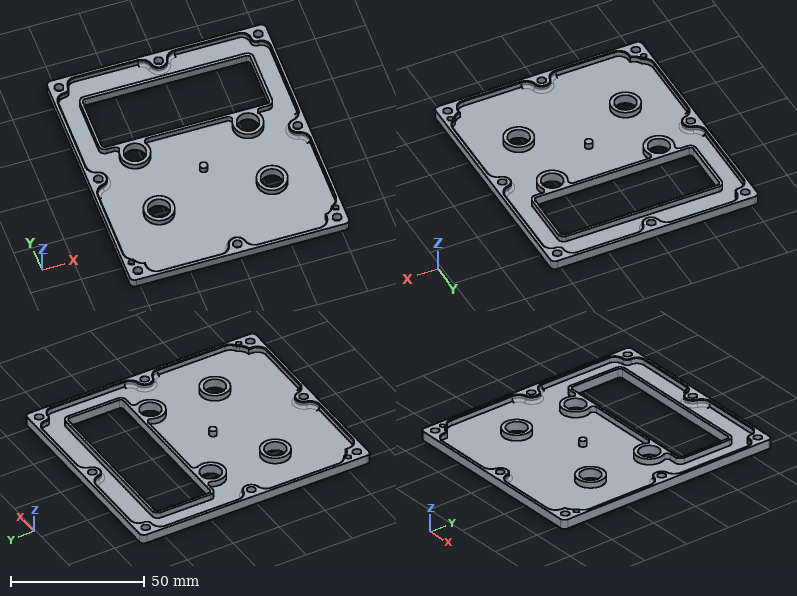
import cadquery as cq
import math

LENGTH_X = 87.0
LENGTH_Y = 100.0
THICKNESS = 4.0
CORNER_RADIUS = 2.0
FLOOR = 1.5
DEPTH = THICKNESS - FLOOR

WALL = 1.5
WALL_CHAMFER = 0.3
HALF_POCKET_X = LENGTH_X / 2 - WALL
HALF_POCKET_Y = LENGTH_Y / 2 - WALL

SCREW_DIAMETER = 3.4
SCREW_INSET = 4.0
SCREW_X = LENGTH_X / 2 - SCREW_INSET
SCREW_Y = LENGTH_Y / 2 - SCREW_INSET

BLOCK_REACH = 3.4
LOWER_REACH_X = 3.8
LOWER_REACH_Y = 2.8
BLOCK_ROUND = 2.2
BLOCK_BLEND = 3.5
BOSS_RADIUS = 3.4
WALL_BLEND = 4.0
BOSS_FLARE = 1.1

PIN_DIAMETER = 2.2
PIN_DEPTH = 2.0
PIN_X = 40.6
PIN_Y = -41.6
PIN_BOSS_RADIUS = 1.8

WINDOW_X = 66.4
WINDOW_Y = 24.0
WINDOW_CENTER_Y = 25.6
WINDOW_RADIUS = 1.2
RIM = 1.2

BUTTON_DIAMETER = 8.5
RING_DIAMETER = 11.8
BUTTON_X = 22.4
BUTTON_UPPER_Y = 7.6
BUTTON_LOWER_Y = -20.5
RING_BLEND = 1.5

POST_DIAMETER = 3.0
POST_Y = -6.5

SIDES = (-1, 1)
TOLERANCE = 0.05
BUTTONS = [(side * BUTTON_X, y) for side in SIDES for y in (BUTTON_UPPER_Y, BUTTON_LOWER_Y)]
UPPER_SCREWS = [(side * SCREW_X, SCREW_Y) for side in SIDES]
LOWER_SCREWS = [(side * SCREW_X, -SCREW_Y) for side in SIDES]
MID_SCREWS = [(-SCREW_X, 0), (SCREW_X, 0), (0, -SCREW_Y), (0, SCREW_Y)]
PINS = [(side * PIN_X, PIN_Y) for side in SIDES]


def cylinders(points, diameter, bottom, height):
    return cq.Workplane("XY", origin=(0, 0, bottom)).pushPoints(points).circle(diameter / 2).extrude(height)


def upright_edges(body, points):
    """Vertical edges of body that pass through the given XY points."""
    edges = []
    for edge in body.edges("|Z").vals():
        center = edge.Center()
        if any(math.hypot(center.x - x, center.y - y) < TOLERANCE for x, y in points):
            edges.append(edge)
    return body.newObject(edges)


def pocket_box(x_min, x_max, y_min, y_max):
    base = cq.Workplane("XY", origin=(0, 0, FLOOR))
    centered = base.center((x_min + x_max) / 2, (y_min + y_max) / 2)
    return centered.rect(x_max - x_min, y_max - y_min).extrude(DEPTH)


def round_upper_corners(pocket):
    """Leave a block with a rounded corner around each upper corner screw."""
    face_x = SCREW_X - BLOCK_REACH
    face_y = SCREW_Y - BLOCK_REACH
    base = cq.Workplane("XY", origin=(0, 0, FLOOR))
    blocks = base.pushPoints(UPPER_SCREWS).rect(2 * BLOCK_REACH, 2 * BLOCK_REACH).extrude(DEPTH)
    corners = [(side * face_x, face_y) for side in SIDES]
    roots = [(side * face_x, HALF_POCKET_Y) for side in SIDES]
    roots += [(side * HALF_POCKET_X, face_y) for side in SIDES]
    pocket = upright_edges(pocket.cut(blocks), corners).fillet(BLOCK_ROUND)
    return upright_edges(pocket, roots).fillet(BLOCK_BLEND)


def round_lower_corners(pocket):
    """Leave a sharp-cornered block around each lower corner screw, blended into a pin boss above it."""
    face_x = SCREW_X - LOWER_REACH_X
    face_y = -SCREW_Y + LOWER_REACH_Y
    pocket = pocket.cut(pocket_box(-HALF_POCKET_X, HALF_POCKET_X, -HALF_POCKET_Y, face_y))
    pocket = pocket.cut(cylinders(PINS, 2 * PIN_BOSS_RADIUS, FLOOR, DEPTH))
    pocket = pocket.cut(pocket_box(PIN_X, HALF_POCKET_X, face_y, PIN_Y))
    pocket = pocket.cut(pocket_box(-HALF_POCKET_X, -PIN_X, face_y, PIN_Y))
    wall_y = PIN_Y + math.sqrt(PIN_BOSS_RADIUS**2 - (HALF_POCKET_X - PIN_X)**2)
    shelf_x = PIN_X - math.sqrt(PIN_BOSS_RADIUS**2 - (PIN_Y - face_y)**2)
    pin_roots = [(side * HALF_POCKET_X, wall_y) for side in SIDES]
    pin_roots += [(side * shelf_x, face_y) for side in SIDES]
    pocket = upright_edges(pocket, pin_roots).fillet(WALL_BLEND)
    pocket = pocket.union(pocket_box(-face_x, face_x, -HALF_POCKET_Y, PIN_Y))
    block_roots = [(side * face_x, -HALF_POCKET_Y) for side in SIDES]
    return upright_edges(pocket, block_roots).fillet(WALL_BLEND)


def add_mid_bosses(pocket):
    """Leave a round boss, blended into the wall, around the screw in the middle of each side."""
    half_chord = math.sqrt(BOSS_RADIUS**2 - (SCREW_INSET - WALL)**2)
    roots = [(a * half_chord, b * HALF_POCKET_Y) for a in SIDES for b in SIDES]
    roots += [(a * HALF_POCKET_X, b * half_chord) for a in SIDES for b in SIDES]
    pocket = pocket.cut(cylinders(MID_SCREWS, 2 * BOSS_RADIUS, FLOOR, DEPTH))
    return upright_edges(pocket, roots).fillet(WALL_BLEND)


def make_pocket():
    pocket = pocket_box(-HALF_POCKET_X, HALF_POCKET_X, -HALF_POCKET_Y, HALF_POCKET_Y)
    return add_mid_bosses(round_lower_corners(round_upper_corners(pocket)))


def make_tray():
    """Rounded plate with the pocket cut and the top inner edge of the wall beveled."""
    plate = cq.Workplane("XY").rect(LENGTH_X, LENGTH_Y).extrude(THICKNESS)
    plate = plate.edges("|Z").fillet(CORNER_RADIUS)
    pocket = make_pocket()
    outline = pocket.faces(">Z").wires().val().translate(cq.Vector(0, 0, -WALL_CHAMFER))
    bevel = cq.Workplane("XY").newObject([outline]).toPending().extrude(WALL_CHAMFER, taper=-45)
    return plate.cut(pocket).cut(bevel)


def flare_boss(tray, x, y):
    """Fillet the curved foot of one mid-side boss, stopping where it meets the straight wall."""
    blend_offset = SCREW_INSET - WALL - WALL_BLEND
    half_span = math.sqrt((BOSS_RADIUS + WALL_BLEND)**2 - blend_offset**2)
    reach = 2 * (BOSS_RADIUS + BOSS_FLARE + WALL)
    size = (2 * half_span, reach) if x == 0 else (reach, 2 * half_span)
    window = cq.Workplane("XY").center(x, y).rect(*size).extrude(THICKNESS)
    boss = tray.intersect(window)
    foot = [
        edge for edge in boss.edges("%CIRCLE").vals()
        if abs(edge.BoundingBox().zmin - FLOOR) + abs(edge.BoundingBox().zmax - FLOOR) < TOLERANCE
    ]
    return tray.union(boss.newObject(foot).fillet(BOSS_FLARE))


def make_rim():
    """Raised frame around the window, blended into the two upper button rings."""
    outer_x = WINDOW_X + 2 * RIM
    outer_y = WINDOW_Y + 2 * RIM
    rim = cq.Workplane("XY").center(0, WINDOW_CENTER_Y).rect(outer_x, outer_y).extrude(THICKNESS)
    rim = rim.edges("|Z").fillet(WINDOW_RADIUS + RIM)
    rim = rim.union(cylinders(BUTTONS, RING_DIAMETER, 0, THICKNESS))
    edge_y = WINDOW_CENTER_Y - outer_y / 2
    half_chord = math.sqrt((RING_DIAMETER / 2)**2 - (edge_y - BUTTON_UPPER_Y)**2)
    joints = [(a * BUTTON_X + b * half_chord, edge_y) for a in SIDES for b in SIDES]
    return upright_edges(rim, joints).fillet(RING_BLEND)


result = make_tray()
for screw_x, screw_y in MID_SCREWS:
    result = flare_boss(result, screw_x, screw_y)
result = result.union(make_rim())
result = result.union(cylinders([(0, POST_Y)], POST_DIAMETER, 0, THICKNESS))

window = cq.Workplane("XY").center(0, WINDOW_CENTER_Y).rect(WINDOW_X, WINDOW_Y).extrude(THICKNESS)
result = result.cut(window.edges("|Z").fillet(WINDOW_RADIUS))
result = result.cut(cylinders(BUTTONS, BUTTON_DIAMETER, 0, THICKNESS))
result = result.cut(cylinders(UPPER_SCREWS + LOWER_SCREWS + MID_SCREWS, SCREW_DIAMETER, 0, THICKNESS))
result = result.cut(cylinders(PINS, PIN_DIAMETER, THICKNESS - PIN_DEPTH, PIN_DEPTH))